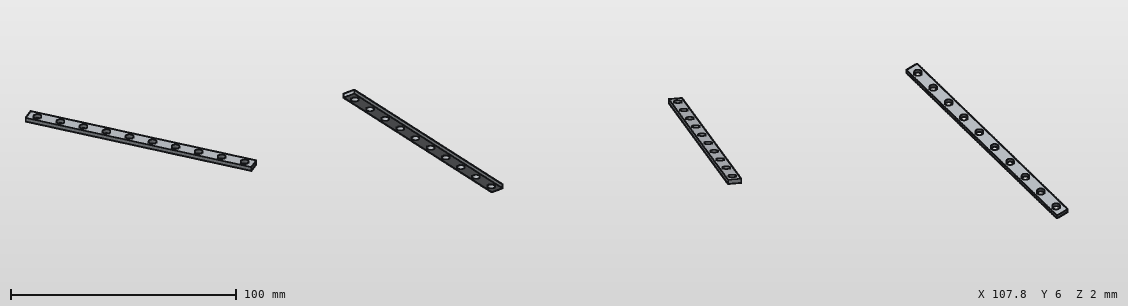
import cadquery as cq

length = 107.8
width = 6.0
thickness = 2.0

hole_count = 10
hole_pitch = 11.0
hole_diameter = 3.6

bar = cq.Workplane("XY").box(length, width, thickness)

result = (
    bar.faces(">Z")
    .workplane()
    .rarray(hole_pitch, width, hole_count, 1)
    .hole(hole_diameter)
)